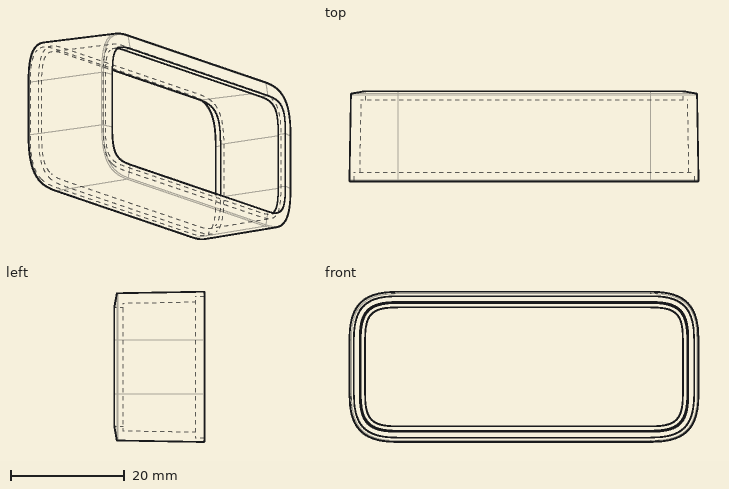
import math

import cadquery as cq

LENGTH = 61.5
HEIGHT = 26.5
DEPTH = 15.96

CORNER_REACH = 8.5
CORNER_HANDLE = 2.4
HANDLE_SHRINK = 0.448

DRAFT = math.tan(math.radians(1))

FRONT_EDGE_RADIUS = 0.3
BACK_EDGE_RADIUS = 0.25
BACK_SLOPE_RISE = 0.46

REBATE_DEPTH = 1.7
REBATE_INSET = 0.78
BORE_INSET = 1.8
LIP_INSET = 2.8
LIP_THICKNESS = 1.5

SKIN_END = DEPTH - BACK_SLOPE_RISE
LIP_FRONT = DEPTH - LIP_THICKNESS


def frame_outline(y, inset):
    """Closed outline with blended corners at depth y, inset from the outer envelope."""
    half_length = LENGTH / 2 - inset
    half_height = HEIGHT / 2 - inset
    reach = CORNER_REACH - inset
    handle = CORNER_HANDLE - HANDLE_SHRINK * inset

    def edge_point(x_sign, z_sign, along_x, along_z):
        """Point set back from one of the four sharp corners."""
        return cq.Vector(x_sign * (half_length - along_x), y, z_sign * (half_height - along_z))

    edges = []
    corner_signs = [(1, 1), (-1, 1), (-1, -1), (1, -1)]
    for index, (x_sign, z_sign) in enumerate(corner_signs):
        setbacks = [(0, reach), (0, handle), (handle, 0), (reach, 0)]
        if x_sign != z_sign:
            setbacks.reverse()
        blend = [edge_point(x_sign, z_sign, *setback) for setback in setbacks]
        next_x, next_z = corner_signs[(index + 1) % len(corner_signs)]
        next_setback = (reach, 0) if next_z == z_sign else (0, reach)
        edges.append(cq.Edge.makeBezier(blend))
        edges.append(cq.Edge.makeLine(blend[-1], edge_point(next_x, next_z, *next_setback)))
    return cq.Wire.assembleEdges(edges)


def frame_block(front, front_inset, back, back_inset):
    """Solid ruled between two outlines at different depths."""
    outlines = [frame_outline(front, front_inset), frame_outline(back, back_inset)]
    return cq.Workplane(cq.Solid.makeLoft(outlines, True))


def edges_at_depth(y):
    """Selector for the loop of edges lying in the plane at depth y."""
    band = FRONT_EDGE_RADIUS / 2
    return cq.selectors.BoxSelector((-LENGTH, y - band, -HEIGHT), (LENGTH, y + band, HEIGHT))


def outer_body():
    """Drafted skin and sloping back face, with the front and back edges rounded."""
    skin_inset = DRAFT * SKIN_END
    skin = frame_block(0, 0, SKIN_END, skin_inset)
    back = frame_block(SKIN_END, skin_inset, DEPTH, LIP_INSET)
    body = skin.union(back)
    body = body.edges(edges_at_depth(SKIN_END)).fillet(BACK_EDGE_RADIUS)
    return body.edges(edges_at_depth(0)).fillet(FRONT_EDGE_RADIUS)


def inner_hollow():
    """Drafted rebate and bore, and the straight opening through the back lip."""
    rebate_end_inset = REBATE_INSET + DRAFT * REBATE_DEPTH
    bore_end_inset = BORE_INSET + DRAFT * (LIP_FRONT - REBATE_DEPTH)
    rebate = frame_block(0, REBATE_INSET, REBATE_DEPTH, rebate_end_inset)
    bore = frame_block(REBATE_DEPTH, BORE_INSET, LIP_FRONT, bore_end_inset)
    opening = frame_block(LIP_FRONT, LIP_INSET, DEPTH, LIP_INSET)
    return rebate.union(bore).union(opening)


result = outer_body().cut(inner_hollow())